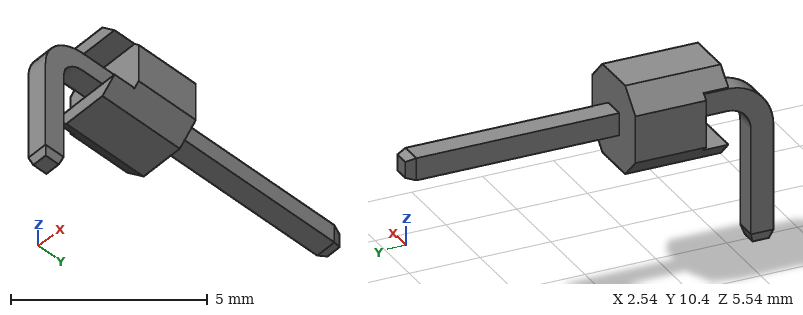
import cadquery as cq


pitch = 2.54
corner_chamfer = 0.6
core_length = 2.0
foot_length = 0.7
foot_thickness = 0.45

pin_size = 0.64
mating_length = 6.0
tail_overhang = 1.66
tail_depth = 4.27
outer_bend_radius = 1.31
tip_length = 0.27
tip_size = 0.46

pin_tip_y = core_length + mating_length
tail_outer_y = -(foot_length + tail_overhang)
tail_axis_y = tail_outer_y + pin_size / 2
bend_radius = outer_bend_radius - pin_size / 2
bend_start_y = tail_axis_y + bend_radius
bend_end_z = -bend_radius


def make_body():
    """Octagonal body, with its middle cut back to leave a foot above and below."""
    body_length = core_length + foot_length
    body = (
        cq.Workplane("XY")
        .box(pitch, body_length, pitch)
        .edges("|Y")
        .chamfer(corner_chamfer)
        .translate((0, core_length - body_length / 2, 0))
    )
    recess_height = pitch - 2 * foot_thickness
    recess = cq.Workplane("XY").box(pitch, foot_length, recess_height).translate((0, -foot_length / 2, 0))
    return body.cut(recess)


def make_tip(base_center, direction):
    """Tapered pin end, growing from base_center along direction."""
    base = cq.Plane(origin=base_center, xDir=(1, 0, 0), normal=direction)
    return (
        cq.Workplane(base)
        .rect(pin_size, pin_size)
        .workplane(offset=tip_length)
        .rect(tip_size, tip_size)
        .loft(ruled=True)
    )


def make_pin():
    """Square wire bent through 90 degrees, tapered at both ends."""
    shank_end_y = pin_tip_y - tip_length
    tail_end_z = -(tail_depth - tip_length)
    path = (
        cq.Workplane("YZ")
        .moveTo(shank_end_y, 0)
        .lineTo(bend_start_y, 0)
        .tangentArcPoint((tail_axis_y, bend_end_z), relative=False)
        .lineTo(tail_axis_y, tail_end_z)
    )
    shank_end = cq.Workplane("XZ", origin=(0, shank_end_y, 0))
    wire = shank_end.rect(pin_size, pin_size).sweep(path)
    mating_tip = make_tip((0, shank_end_y, 0), (0, 1, 0))
    tail_tip = make_tip((0, tail_axis_y, tail_end_z), (0, 0, -1))
    return wire.union(mating_tip).union(tail_tip)


result = make_body().union(make_pin())